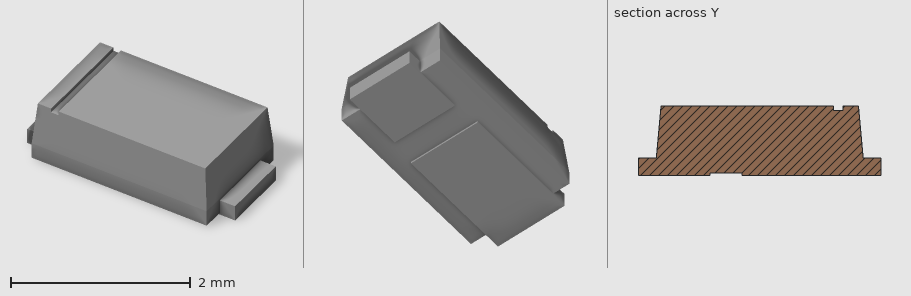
import cadquery as cq

body_length = 2.3
body_width = 1.4
standoff = 0.025
parting_height = 0.23
overall_height = 0.78
draft_inset = 0.05

overall_length = 2.7
lead_thickness = 0.2
cathode_lead_length = 1.55
cathode_lead_width = 0.95
anode_lead_length = 0.8
anode_lead_width = 0.85

groove_width = 0.1
groove_depth = 0.05
groove_offset = 0.225


def make_body():
    """Straight lower band with a drafted upper portion."""
    upper_height = overall_height - parting_height
    lower = (
        cq.Workplane("XY")
        .workplane(offset=standoff)
        .rect(body_length, body_width)
        .extrude(parting_height - standoff)
    )
    upper = (
        cq.Workplane("XY")
        .workplane(offset=parting_height)
        .rect(body_length, body_width)
        .workplane(offset=upper_height)
        .rect(body_length - 2 * draft_inset, body_width - 2 * draft_inset)
        .loft(ruled=True)
    )
    return lower.union(upper)


def make_lead(start_x, length, width):
    """Flat lead running toward +X from start_x, centred on the X axis."""
    return (
        cq.Workplane("XY")
        .box(length, width, lead_thickness, centered=(False, True, False))
        .translate((start_x, 0, 0))
    )


def make_groove():
    """Cutter for the groove, open at both long sides of the body."""
    return (
        cq.Workplane("XY")
        .box(groove_width, body_width, groove_depth, centered=(False, True, False))
        .translate((groove_offset - body_length / 2, 0, overall_height - groove_depth))
    )


cathode_lead = make_lead(-overall_length / 2, cathode_lead_length, cathode_lead_width)
anode_lead = make_lead(overall_length / 2 - anode_lead_length, anode_lead_length, anode_lead_width)

result = make_body().cut(make_groove()).union(cathode_lead).union(anode_lead)